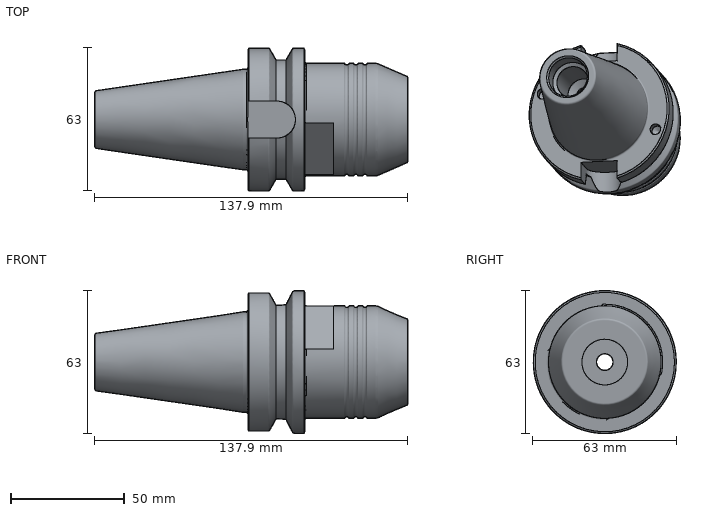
import cadquery as cq
import math

LENGTH = 137.9

GAUGE_X = 65.4
GAUGE_RADIUS = 22.2
TAPER_RATE = 7 / 24
SHANK_END_ROUND = 1.0
NECK_ROUND = 0.7

FLANGE_X = 67.5
FLANGE_WIDTH = 25.1
FLANGE_RADIUS = 63.0 / 2
FLANGE_CHAMFER_LENGTH = 0.4
FLANGE_CHAMFER_DEPTH = 0.8
GROOVE_RADIUS = 26.3
GROOVE_CENTRE_X = 82.0
GROOVE_FLOOR_WIDTH = 4.4
GROOVE_HALF_ANGLE = 30.0
GROOVE_LIP_ROUND = 0.8

BODY_RADIUS = 24.8
NOSE_X = 124.2
NOSE_RADIUS = 18.9
NOSE_BLEND = 2.8
NOSE_END_ROUND = 1.0

RING_COUNT = 3
RING_FIRST_X = 111.0
RING_PITCH = 4.0
RING_CUTTER_RADIUS = 1.0
RING_DEPTH = 0.7
RING_LIP_ROUND = 0.35

SLOT_WIDTH = 16.3
SLOT_END_X = 88.4
SLOT_FLOOR = 22.6

FLAT_DISTANCE = 20.0
FLAT_LENGTH = 12.5
FLAT_ANGLE = 130.0

PIN_HOLE_RADIUS = 2.3
PIN_HOLE_DEPTH = 4.1
PIN_HOLE_CIRCLE = 27.0
PIN_HOLE_ANGLE = 20.0
DRILL_POINT_ANGLE = 118.0

PULL_STUD_RADIUS = 8.7
PULL_STUD_DEPTH = 9.7
PULL_STUD_CHAMFER = 0.76
THREAD_RADIUS = 7.0
THREAD_END_X = 34.5
COOLANT_RADIUS = 3.6
TOOL_BORE_RADIUS = 10.0
TOOL_BORE_DEPTH = 51.0

FLANGE_END_X = FLANGE_X + FLANGE_WIDTH
CLEARANCE = 2.8
OPPOSITE = (0, 180)


def drill_point_length(radius):
    """Length along the axis in which a drill cone narrows by the given radius."""
    return radius / math.tan(math.radians(DRILL_POINT_ANGLE / 2))


def revolve(points):
    """Solid of revolution about X from (x, radius) points closed along the axis."""
    return cq.Workplane("XY").polyline(points).close().revolve(360, (0, 0, 0), (1, 0, 0))


def around_axis(shape, angle):
    return shape.rotate((0, 0, 0), (1, 0, 0), angle)


def round_rings(body, rings, size):
    """Fillet the circular edges found at the given (x, radius) places."""
    tolerance = 0.01
    edges = [
        edge
        for edge in body.edges("%CIRCLE").vals()
        for x, radius in rings
        if abs(edge.Center().x - x) < tolerance and abs(edge.radius() - radius) < tolerance
    ]
    return body.newObject(edges).fillet(size)


def make_blank():
    end_radius = GAUGE_RADIUS - GAUGE_X * TAPER_RATE / 2
    rim_radius = FLANGE_RADIUS - FLANGE_CHAMFER_DEPTH
    wall_width = (FLANGE_RADIUS - GROOVE_RADIUS) * math.tan(math.radians(GROOVE_HALF_ANGLE))
    floor_start = GROOVE_CENTRE_X - GROOVE_FLOOR_WIDTH / 2
    floor_end = GROOVE_CENTRE_X + GROOVE_FLOOR_WIDTH / 2
    lip_start = floor_start - wall_width
    lip_end = floor_end + wall_width
    blank = revolve([
        (0, 0),
        (0, end_radius),
        (GAUGE_X, GAUGE_RADIUS),
        (FLANGE_X, GAUGE_RADIUS),
        (FLANGE_X, rim_radius),
        (FLANGE_X + FLANGE_CHAMFER_LENGTH, FLANGE_RADIUS),
        (lip_start, FLANGE_RADIUS),
        (floor_start, GROOVE_RADIUS),
        (floor_end, GROOVE_RADIUS),
        (lip_end, FLANGE_RADIUS),
        (FLANGE_END_X - FLANGE_CHAMFER_LENGTH, FLANGE_RADIUS),
        (FLANGE_END_X, rim_radius),
        (FLANGE_END_X, BODY_RADIUS),
        (NOSE_X, BODY_RADIUS),
        (LENGTH, NOSE_RADIUS),
        (LENGTH, 0),
    ])
    blank = round_rings(blank, [(0, end_radius)], SHANK_END_ROUND)
    blank = round_rings(blank, [(FLANGE_X, GAUGE_RADIUS), (FLANGE_END_X, BODY_RADIUS)], NECK_ROUND)
    blank = round_rings(blank, [(lip_start, FLANGE_RADIUS), (lip_end, FLANGE_RADIUS)], GROOVE_LIP_ROUND)
    blank = round_rings(blank, [(NOSE_X, BODY_RADIUS)], NOSE_BLEND)
    return round_rings(blank, [(LENGTH, NOSE_RADIUS)], NOSE_END_ROUND)


def cut_grip_rings(body):
    centre_radius = BODY_RADIUS - RING_DEPTH + RING_CUTTER_RADIUS
    half_width = math.sqrt(RING_CUTTER_RADIUS**2 - (centre_radius - BODY_RADIUS) ** 2)
    lips = []
    for index in range(RING_COUNT):
        x = RING_FIRST_X + index * RING_PITCH
        ring = cq.Workplane("XY").center(x, centre_radius).circle(RING_CUTTER_RADIUS)
        body = body.cut(ring.revolve(360, (0, -centre_radius, 0), (1, -centre_radius, 0)))
        lips += [(x - half_width, BODY_RADIUS), (x + half_width, BODY_RADIUS)]
    return round_rings(body, lips, RING_LIP_ROUND)


def cut_drive_slots(body):
    start_x = FLANGE_X - NECK_ROUND
    round_x = SLOT_END_X - SLOT_WIDTH / 2
    slot = (
        cq.Workplane("XY", origin=(0, 0, SLOT_FLOOR))
        .moveTo(start_x, -SLOT_WIDTH / 2)
        .lineTo(round_x, -SLOT_WIDTH / 2)
        .threePointArc((SLOT_END_X, 0), (round_x, SLOT_WIDTH / 2))
        .lineTo(start_x, SLOT_WIDTH / 2)
        .close()
        .extrude(FLANGE_RADIUS - SLOT_FLOOR + CLEARANCE)
    )
    for angle in OPPOSITE:
        body = body.cut(around_axis(slot, angle))
    return body


def cut_wrench_flats(body):
    depth = BODY_RADIUS - FLAT_DISTANCE + CLEARANCE
    cutter = cq.Workplane("XY").box(FLAT_LENGTH, depth, 2 * BODY_RADIUS, centered=(False, False, True))
    cutter = cutter.translate((FLANGE_END_X, FLAT_DISTANCE, 0))
    for angle in OPPOSITE:
        body = body.cut(around_axis(cutter, FLAT_ANGLE + angle))
    return body


def cut_pin_holes(body):
    hole_end = FLANGE_X + PIN_HOLE_DEPTH
    hole = revolve([
        (FLANGE_X, 0),
        (FLANGE_X, PIN_HOLE_RADIUS),
        (hole_end, PIN_HOLE_RADIUS),
        (hole_end + drill_point_length(PIN_HOLE_RADIUS), 0),
    ])
    hole = hole.translate((0, PIN_HOLE_CIRCLE, 0))
    for angle in OPPOSITE:
        body = body.cut(around_axis(hole, PIN_HOLE_ANGLE + angle))
    return body


def cut_bores(body):
    thread_start_x = PULL_STUD_DEPTH + drill_point_length(PULL_STUD_RADIUS - THREAD_RADIUS)
    cone_end = THREAD_END_X + drill_point_length(THREAD_RADIUS - COOLANT_RADIUS)
    tool_bore_x = LENGTH - TOOL_BORE_DEPTH
    return body.cut(revolve([
        (0, 0),
        (0, PULL_STUD_RADIUS + PULL_STUD_CHAMFER),
        (PULL_STUD_CHAMFER, PULL_STUD_RADIUS),
        (PULL_STUD_DEPTH, PULL_STUD_RADIUS),
        (thread_start_x, THREAD_RADIUS),
        (THREAD_END_X, THREAD_RADIUS),
        (cone_end, COOLANT_RADIUS),
        (tool_bore_x, COOLANT_RADIUS),
        (tool_bore_x, TOOL_BORE_RADIUS),
        (LENGTH, TOOL_BORE_RADIUS),
        (LENGTH, 0),
    ]))


result = make_blank()
result = cut_grip_rings(result)
result = cut_drive_slots(result)
result = cut_wrench_flats(result)
result = cut_pin_holes(result)
result = cut_bores(result)